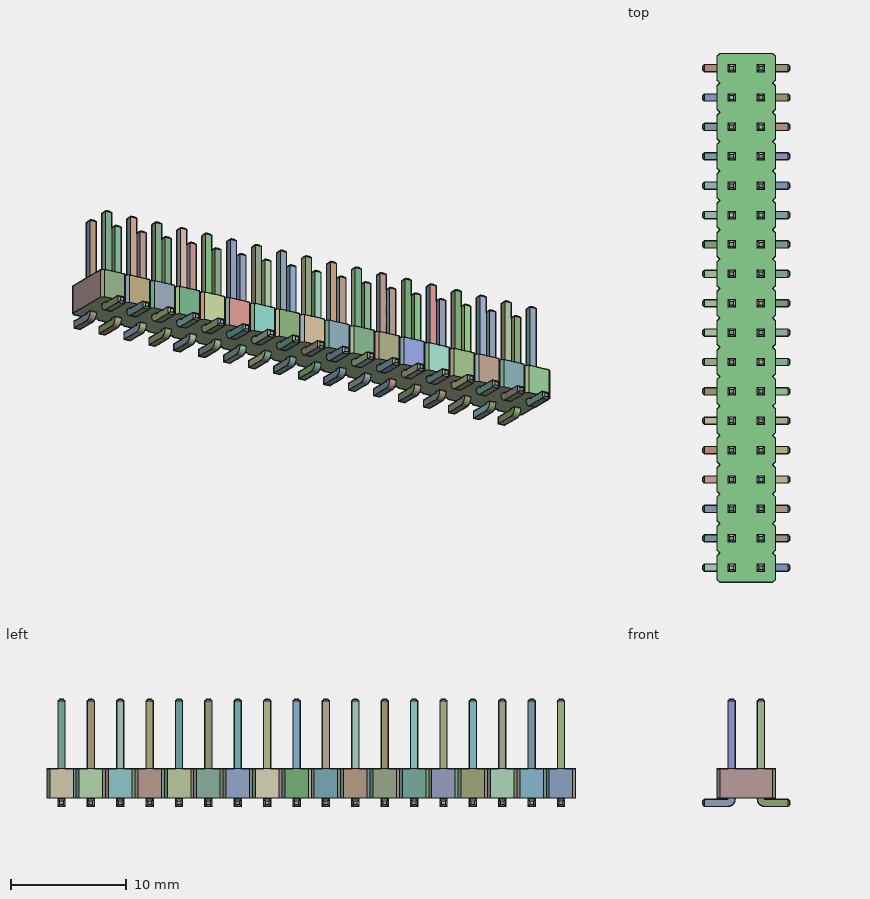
import cadquery as cq

length = 45.7
positions = 18
rows = 2
pitch = length / positions

body_width = rows * pitch
body_height = pitch
notch_depth = pitch / 10

pin_size = 0.65
pin_chamfer = pin_size / 4
standoff = 0.75
bend_radius = pin_size

overall_width = 7.55
overall_height = 9.3


def repeat_along_length(shape):
    """Place one copy of a shape at every contact position."""
    return (
        cq.Workplane("XY")
        .rarray(0.45, pitch, 1, positions)
        .eachpoint(lambda place: shape.val().moved(place))
    )


def make_body():
    """Chamfered blocks laid end to end, which forms the notches between them."""
    block = (
        cq.Workplane("XY", origin=(0, 0, standoff))
        .box(body_width, pitch, body_height, centered=(True, True, False))
        .edges("|Z")
        .chamfer(notch_depth)
    )
    return repeat_along_length(block).combine()


def make_pin():
    """L-shaped square pin of the +X row, with its foot pointing toward +X."""
    inner_x = pitch / 2 - pin_size / 2
    outer_x = inner_x + pin_size
    foot_end = overall_width / 2
    pin = (
        cq.Workplane("XZ")
        .moveTo(inner_x, overall_height)
        .lineTo(inner_x, bend_radius)
        .radiusArc((inner_x + bend_radius, 0), -bend_radius)
        .lineTo(foot_end, 0)
        .lineTo(foot_end, pin_size)
        .lineTo(outer_x, pin_size)
        .lineTo(outer_x, overall_height)
        .close()
        .extrude(pin_size / 2, both=True)
    )
    return pin.faces(">Z or >X").chamfer(pin_chamfer)


right_pin = make_pin()
left_pin = right_pin.mirror("YZ")

result = (
    make_body()
    .union(repeat_along_length(right_pin))
    .union(repeat_along_length(left_pin))
)